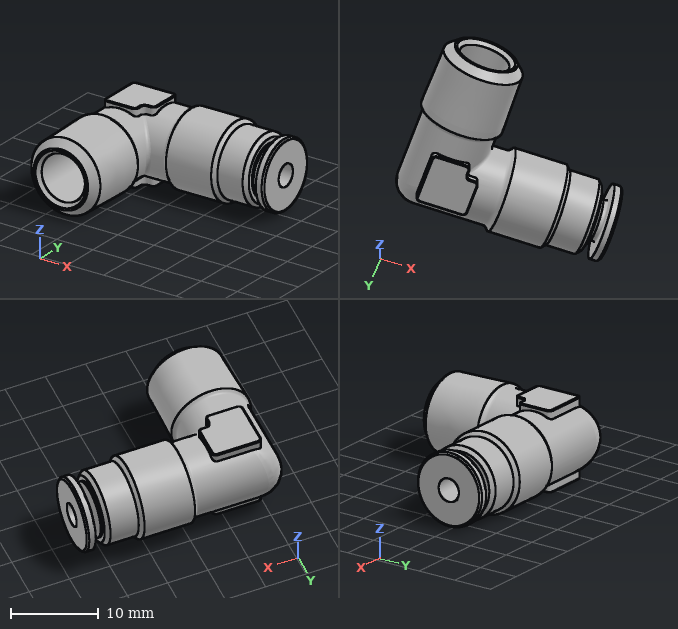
import cadquery as cq
import math


tube_end = 20.4
thread_end = 15.5
body_diameter = 9.0
body_radius = body_diameter / 2
flank_angle = math.radians(45)
flank_fillet = 0.5

outer_corner_fillet = 2.38
inner_corner_fillet = 0.4

across_pads = 10.0
pad_height = across_pads / 2
pad_near = 2.25
pad_far = 3.8
pad_corner_radius = 0.5
pad_edge_chamfer = 0.1

collar_radius = pad_height
collar_start = 7.27
collar_end = 13.53
sleeve_end = 18.05
sleeve_chamfer = 0.5
hub_radius = 3.37
hub_end = 18.27
neck_radius = 2.43
neck_start = 18.75
flange_thickness = 1.05
flange_chamfer = 0.23
neck_fillet = 0.23

thread_radius = 4.95
thread_start = 7.2
taper_start = 8.1
taper_tip_radius = 4.8
tip_chamfer = 1.01

thread_bore_radius = 3.0
bore_chamfer = 0.5
tube_bore_radius = 1.42


def start_leg(collar_radius, collar_start):
    """Half outline of a leg along +X: body, concave fillet and 45 degree flank up to a collar."""
    half_turn = flank_angle / 2
    flank_foot = collar_start - (collar_radius - body_radius)
    tangent = flank_fillet * math.tan(half_turn)
    diagonal = tangent * math.cos(flank_angle)
    arc_start = flank_foot - tangent
    arc_middle = (
        arc_start + flank_fillet * math.sin(half_turn),
        body_radius + flank_fillet * (1 - math.cos(half_turn)),
    )
    return (
        cq.Workplane("XY")
        .lineTo(0, body_radius)
        .lineTo(arc_start, body_radius)
        .threePointArc(arc_middle, (flank_foot + diagonal, body_radius + diagonal))
        .lineTo(collar_start, collar_radius)
    )


def spin(outline):
    """Revolve a closed half outline about the X axis."""
    return outline.revolve(360, (0, 0, 0), (1, 0, 0))


def tube_leg():
    flange_start = tube_end - flange_thickness
    fillet_inset = neck_fillet * (1 - math.sqrt(0.5))
    fillet_middle = (flange_start - fillet_inset, neck_radius + fillet_inset)
    outline = (
        start_leg(collar_radius, collar_start)
        .lineTo(collar_end, collar_radius)
        .lineTo(collar_end + collar_radius - body_radius, body_radius)
        .lineTo(sleeve_end - sleeve_chamfer, body_radius)
        .lineTo(sleeve_end, body_radius - sleeve_chamfer)
        .lineTo(sleeve_end, hub_radius)
        .lineTo(hub_end, hub_radius)
        .lineTo(neck_start, neck_radius)
        .lineTo(flange_start - neck_fillet, neck_radius)
        .threePointArc(fillet_middle, (flange_start, neck_radius + neck_fillet))
        .lineTo(flange_start, body_radius)
        .lineTo(tube_end - flange_chamfer, body_radius)
        .lineTo(tube_end, body_radius - flange_chamfer)
        .lineTo(tube_end, 0)
        .close()
    )
    return spin(outline)


def thread_leg():
    outline = (
        start_leg(thread_radius, thread_start)
        .lineTo(taper_start, thread_radius)
        .lineTo(thread_end - tip_chamfer, taper_tip_radius)
        .lineTo(thread_end, taper_tip_radius - tip_chamfer)
        .lineTo(thread_end, 0)
        .close()
    )
    return spin(outline).rotate((0, 0, 0), (0, 0, 1), -90)


def elbow_corner():
    """Mitred corner: the overlap of both leg cylinders carried past the origin."""
    reach = 2 * body_radius
    along_x = cq.Workplane("YZ").circle(body_radius).extrude(reach, both=True)
    along_y = cq.Workplane("XZ").circle(body_radius).extrude(reach, both=True)
    return along_x.intersect(along_y)


def wrench_pads():
    """L-shaped prism through the elbow; only its two ends stand out as pads."""
    outline = [
        (-pad_near, pad_near),
        (pad_far, pad_near),
        (pad_far, -pad_near),
        (pad_near, -pad_near),
        (pad_near, -pad_far),
        (-pad_near, -pad_far),
    ]
    prism = cq.Workplane("XY").polyline(outline).close().extrude(pad_height, both=True)
    prism = prism.edges("|Z").fillet(pad_corner_radius)
    return prism.faces("|Z").chamfer(pad_edge_chamfer)


def mitre_edges(solid, side):
    """Edges where the two legs meet, on the outer (+1) or inner (-1) side of the elbow."""
    quadrant = cq.selectors.BoxSelector(
        (0, 0, -body_radius),
        (-side * body_radius, side * body_radius, body_radius),
    )
    return solid.edges("%ELLIPSE").edges(quadrant)


def thread_bore():
    """Bore up the threaded leg with a chamfered mouth and a ball end at the origin."""
    ball_offset = thread_bore_radius * math.sqrt(0.5)
    mouth_radius = thread_bore_radius + bore_chamfer
    outline = (
        cq.Workplane("XY")
        .moveTo(-thread_bore_radius, 0)
        .threePointArc((-ball_offset, ball_offset), (0, thread_bore_radius))
        .lineTo(0, -thread_end)
        .lineTo(-mouth_radius, -thread_end)
        .lineTo(-thread_bore_radius, bore_chamfer - thread_end)
        .close()
    )
    return outline.revolve(360, (0, 0, 0), (0, 1, 0))


def tube_bore():
    return cq.Workplane("YZ").circle(tube_bore_radius).extrude(tube_end)


body = tube_leg().union(thread_leg()).union(elbow_corner()).union(wrench_pads())
body = mitre_edges(body, side=1).fillet(outer_corner_fillet)
body = mitre_edges(body, side=-1).fillet(inner_corner_fillet)
result = body.cut(thread_bore()).cut(tube_bore())